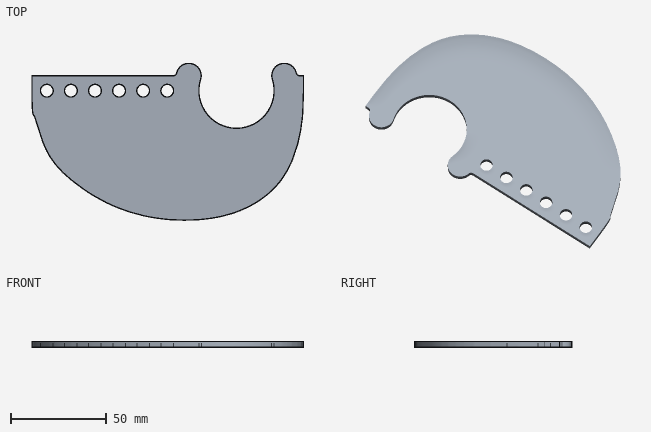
import cadquery as cq
import math

LENGTH = 143.0
THICKNESS = 3.1
TOP_EDGE = 7.9

HOLE_DIAMETER = 6.6
HOLE_COUNT = 6
FIRST_HOLE_X = 7.9
HOLE_ROW_SPAN = 63.4
HOLE_PITCH = HOLE_ROW_SPAN / (HOLE_COUNT - 1)

BITE_X = 107.7
BITE_RADIUS = 19.7
KNOB_RADIUS = 6.6
FILLET_RADIUS = 2.0

BELLY_POINTS = [
    (140.0, -27.8),
    (131.5, -46.8),
    (115.3, -60.5),
    (80.1, -68.2),
    (42.5, -60.5),
    (20.5, -46.8),
    (6.0, -27.8),
    (1.5, -13.9),
    (0, 0),
]

CENTRE_DISTANCE = BITE_RADIUS + KNOB_RADIUS
KNOB_OFFSET = math.sqrt(CENTRE_DISTANCE**2 - TOP_EDGE**2)
FILLET_DISTANCE = KNOB_RADIUS + FILLET_RADIUS
FILLET_OFFSET = math.sqrt(FILLET_DISTANCE**2 - FILLET_RADIUS**2)


def rim_point(side, offset, height):
    """Point at a distance from the bite centre line; side is -1 left, +1 right."""
    return (BITE_X + side * offset, height)


def fillet_start(side):
    return rim_point(side, KNOB_OFFSET + FILLET_OFFSET, TOP_EDGE)


def fillet_middle(side):
    """Middle of the fillet arc, halfway between its two tangent directions."""
    down_to_knob = math.atan2(FILLET_RADIUS, FILLET_OFFSET)
    angle = (math.pi / 2 + down_to_knob) / 2
    offset = KNOB_OFFSET + FILLET_OFFSET - FILLET_RADIUS * math.cos(angle)
    height = TOP_EDGE + FILLET_RADIUS * (1 - math.sin(angle))
    return rim_point(side, offset, height)


def fillet_end(side):
    share = KNOB_RADIUS / FILLET_DISTANCE
    return rim_point(side, KNOB_OFFSET + FILLET_OFFSET * share, TOP_EDGE + FILLET_RADIUS * share)


def knob_top(side):
    return rim_point(side, KNOB_OFFSET, TOP_EDGE + KNOB_RADIUS)


def bite_start(side):
    share = BITE_RADIUS / CENTRE_DISTANCE
    return rim_point(side, KNOB_OFFSET * share, TOP_EDGE * share)


LEFT = -1
RIGHT = 1

plate = (
    cq.Workplane("XY")
    .moveTo(0, 0)
    .lineTo(0, TOP_EDGE)
    .lineTo(*fillet_start(LEFT))
    .threePointArc(fillet_middle(LEFT), fillet_end(LEFT))
    .threePointArc(knob_top(LEFT), bite_start(LEFT))
    .threePointArc((BITE_X, -BITE_RADIUS), bite_start(RIGHT))
    .threePointArc(knob_top(RIGHT), fillet_end(RIGHT))
    .threePointArc(fillet_middle(RIGHT), fillet_start(RIGHT))
    .lineTo(LENGTH, TOP_EDGE)
    .lineTo(LENGTH, 0)
    .spline(BELLY_POINTS, tangents=[(0, -1), (0, 1)], includeCurrent=True)
    .close()
    .extrude(THICKNESS)
)

hole_centres = [(FIRST_HOLE_X + i * HOLE_PITCH, 0) for i in range(HOLE_COUNT)]
holes = (
    cq.Workplane("XY")
    .pushPoints(hole_centres)
    .circle(HOLE_DIAMETER / 2)
    .extrude(THICKNESS)
)

result = plate.cut(holes)